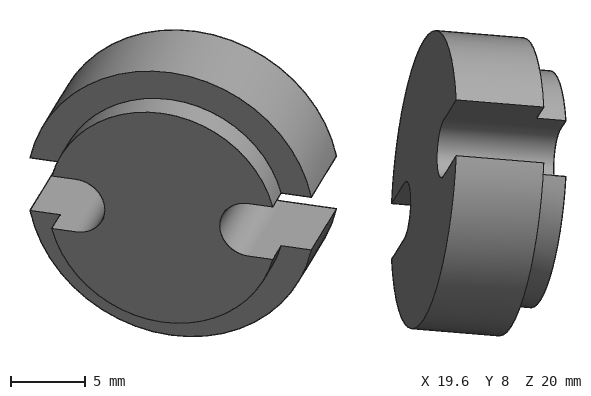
import cadquery as cq

disc_diameter = 20.0
disc_thickness = 6.0
boss_diameter = 15.9
boss_height = 2.0
slot_width = 4.0
web_width = 8.0

total_depth = disc_thickness + boss_height
slot_radius = slot_width / 2
slot_center_x = web_width / 2 + slot_radius
slot_length = disc_diameter / 2


def cylinder_along_y(diameter, front_y, depth):
    """Cylinder centred on the Y axis, running from front_y toward +Y."""
    plane = cq.Workplane("XZ", origin=(0, front_y, 0))
    return plane.circle(diameter / 2).extrude(-depth)


def side_slot(side):
    """Round-bottomed slot open to the rim; side is +1 for +X and -1 for -X."""
    round_bottom = cylinder_along_y(slot_width, 0, total_depth).translate((side * slot_center_x, 0, 0))
    straight_run = cq.Workplane("XY").box(slot_length, total_depth, slot_width).translate(
        (side * (slot_center_x + slot_length / 2), total_depth / 2, 0)
    )
    return round_bottom.union(straight_run)


boss = cylinder_along_y(boss_diameter, 0, boss_height)
disc = cylinder_along_y(disc_diameter, boss_height, disc_thickness)
result = disc.union(boss)

for side in (-1, 1):
    result = result.cut(side_slot(side))